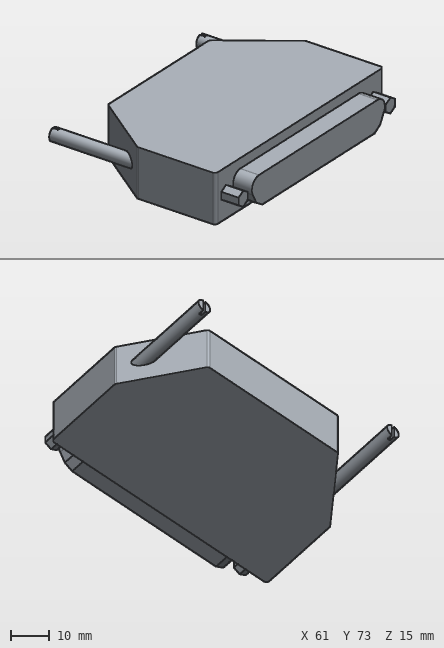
import cadquery as cq
import math


hood_length = 45.0
hood_width = 73.0
hood_height = 15.0
rear_width = 44.0
taper_length = 20.0
hood_corner_radius = 1.0

shell_length = 6.0
shell_width = 57.8
shell_height = 9.2
shell_corner_radius = 3.15
shell_side_angle = 28.0
shell_lower_edge_angle = 59.0
shell_lower_edge_height = 1.5
shell_drop = 0.15

screw_spacing = 64.0
screw_diameter = 4.0
screw_projection = 10.0
slot_width = 0.75
slot_depth = 1.6
hex_across_flats = 4.0
hex_length = 5.5


def make_hood():
    """Rectangular block with a tapered cable end and softened vertical corners."""
    half_width = hood_width / 2
    half_rear = rear_width / 2
    taper_end = -hood_length + taper_length
    outline = [
        (0, -half_width),
        (0, half_width),
        (taper_end, half_width),
        (-hood_length, half_rear),
        (-hood_length, -half_rear),
        (taper_end, -half_width),
    ]
    block = (
        cq.Workplane("XY")
        .workplane(offset=-hood_height / 2)
        .polyline(outline)
        .close()
        .extrude(hood_height)
    )
    return block.edges("|Z").fillet(hood_corner_radius)


def make_shell():
    """D-shaped plug: rounded upper corners, inward-sloping sides and bevelled lower edges."""
    top = shell_height / 2 - shell_drop
    bottom = top - shell_height
    bevel_top = bottom + shell_lower_edge_height
    side_angle = math.radians(shell_side_angle)

    arc_centre_y = shell_width / 2 - shell_corner_radius
    arc_centre_z = top - shell_corner_radius

    def arc_point(angle):
        return (
            arc_centre_y + shell_corner_radius * math.cos(angle),
            arc_centre_z + shell_corner_radius * math.sin(angle),
        )

    arc_start = (arc_centre_y, top)
    arc_middle = arc_point((math.pi / 2 - side_angle) / 2)
    arc_end = arc_point(-side_angle)

    side_bottom_y = arc_end[0] - (arc_end[1] - bevel_top) * math.tan(side_angle)
    bevel_run = shell_lower_edge_height * math.tan(math.radians(shell_lower_edge_angle))
    bottom_y = side_bottom_y - bevel_run

    def mirrored(point):
        return (-point[0], point[1])

    return (
        cq.Workplane("YZ")
        .moveTo(*mirrored(arc_start))
        .lineTo(*arc_start)
        .threePointArc(arc_middle, arc_end)
        .lineTo(side_bottom_y, bevel_top)
        .lineTo(bottom_y, bottom)
        .lineTo(-bottom_y, bottom)
        .lineTo(-side_bottom_y, bevel_top)
        .lineTo(*mirrored(arc_end))
        .threePointArc(mirrored(arc_middle), mirrored(arc_start))
        .close()
        .extrude(shell_length)
    )


def make_screw(y):
    """Slotted round shank through the hood, ending in a hexagonal post on the mating face."""
    tail_x = -hood_length - screw_projection
    tail_plane = cq.Plane(origin=(tail_x, y, 0), xDir=(0, 0, 1), normal=(1, 0, 0))
    post_plane = cq.Plane(origin=(0, y, 0), xDir=(0, 0, 1), normal=(1, 0, 0))

    shank = cq.Workplane(tail_plane).circle(screw_diameter / 2).extrude(-tail_x)
    slot = cq.Workplane(tail_plane).rect(screw_diameter, slot_width).extrude(slot_depth)
    hex_across_corners = hex_across_flats / math.cos(math.pi / 6)
    post = cq.Workplane(post_plane).polygon(6, hex_across_corners).extrude(hex_length)
    return shank.cut(slot).union(post)


result = make_hood().union(make_shell())
for screw_y in (-screw_spacing / 2, screw_spacing / 2):
    result = result.union(make_screw(screw_y))